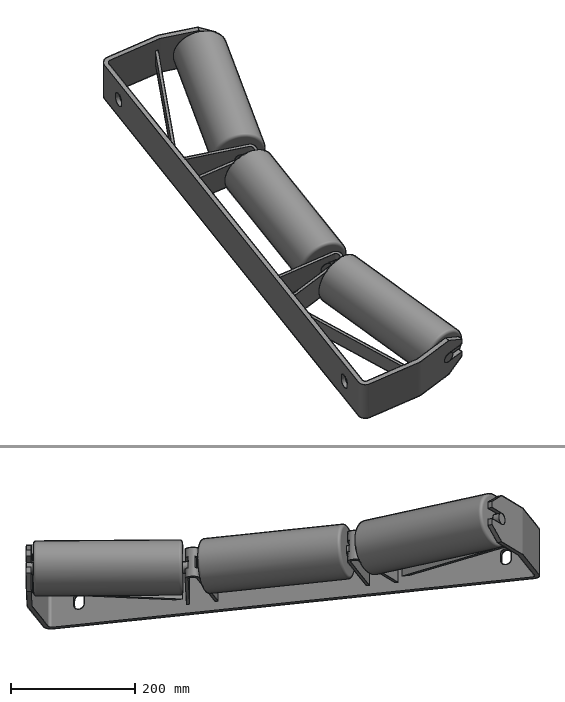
import cadquery as cq
import math

trough_angle = 15.0

frame_length = 830.0
frame_height = 80.0
frame_thickness = 8.0
corner_radius = 13.5
arm_bend_y = 108.0
arm_bend_radius = 20.0
arm_reach = 96.0
tip_chamfer_length = 30.0
tip_chamfer_width = 20.0

mount_slot_x = 357.5
mount_slot_width = 18.0
mount_slot_height = 27.0

roller_length = 240.0
roller_diameter = 89.0
roller_edge_radius = 5.0
shaft_diameter = 19.0
roller_gap = 4.0
centre_roller_y = 101.0
side_roller_x = 271.0
side_roller_y = 137.0

bracket_height = 50.0
bracket_thickness = 5.0
bracket_top_y = 126.5
bracket_bend_radius = 11.0

brace_height = 30.0
brace_thickness = 5.0
brace_arm_y = 100.5
brace_foot_x = 190.0

slope = math.radians(trough_angle)
half_length = frame_length / 2
shaft_radius = shaft_diameter / 2
shoulder = roller_length / 2 + roller_gap
bracket_reach = shoulder + bracket_thickness
axis_direction = cq.Vector(math.cos(slope), math.sin(slope), 0)
arm_direction = cq.Vector(-math.sin(slope), math.cos(slope), 0)
side_centre = cq.Vector(side_roller_x, side_roller_y, 0)
arm_bend = cq.Vector(half_length, arm_bend_y, 0)
arm_face_reach = (arm_bend - side_centre).dot(axis_direction)


def mirrored(body):
    return body.mirror("YZ")


def bar(outline, height):
    """Extrude an XY outline evenly above and below Z = 0."""
    return outline.extrude(height).translate((0, 0, -height / 2))


def at_side_roller(body):
    """Move a body from the X axis onto the axis of the +X side roller."""
    return body.rotate((0, 0, 0), (0, 0, 1), trough_angle).translate(side_centre)


def at_centre_roller(body):
    return body.translate((0, centre_roller_y, 0))


def shaft_slot(start, end):
    """Cutter for a round-bottomed slot that opens toward +Y, for a shaft on the X axis."""
    depth = roller_diameter
    length = end - start
    bottom = cq.Workplane("YZ", origin=(start, 0, 0)).circle(shaft_radius).extrude(length)
    mouth = cq.Workplane("YZ", origin=(start, 0, 0)).center(depth / 2, 0).rect(depth, shaft_diameter)
    return bottom.union(mouth.extrude(length))



def frame_blank(inset):
    """Solid area inside the frame's outer faces, moved inward by inset."""
    side_x = half_length - inset
    bend_y = arm_bend_y - inset * math.tan(slope / 2)
    top_y = arm_bend_y + arm_reach
    top_x = side_x - (top_y - bend_y) * math.tan(slope)
    outline = cq.Workplane("XY").polyline([
        (-top_x, top_y), (-side_x, bend_y), (-side_x, inset),
        (side_x, inset), (side_x, bend_y), (top_x, top_y),
    ]).close()
    blank = bar(outline, frame_height)
    for side in (-1, 1):
        for y, radius in ((inset, corner_radius), (bend_y, arm_bend_radius)):
            corner = cq.NearestToPointSelector((side * side_x, y, 0))
            blank = blank.edges("|Z").edges(corner).fillet(radius - inset)
    return blank


def tip_cutter():
    """Everything beyond the chamfered, square-cut tip of the +X arm."""
    plane = cq.Plane(origin=arm_bend.toTuple(), xDir=arm_direction.toTuple(), normal=axis_direction.toTuple())
    edge = frame_height / 2
    chamfer_start = arm_reach - tip_chamfer_length
    flat = edge - tip_chamfer_width
    outline = cq.Workplane(plane).polyline([
        (chamfer_start, edge), (arm_reach, flat), (arm_reach, -flat), (chamfer_start, -edge),
        (chamfer_start, -frame_height), (2 * arm_reach, -frame_height),
        (2 * arm_reach, frame_height), (chamfer_start, frame_height),
    ]).close()
    return outline.extrude(2 * frame_thickness, both=True)


def make_frame():
    frame = frame_blank(0).cut(frame_blank(frame_thickness))
    slot_cutter = at_side_roller(shaft_slot(arm_face_reach - 2 * frame_thickness, arm_face_reach + frame_thickness))
    for cutter in (tip_cutter(), slot_cutter):
        frame = frame.cut(cutter).cut(mirrored(cutter))
    mount_slots = (
        cq.Workplane("XZ")
        .pushPoints([(-mount_slot_x, 0), (mount_slot_x, 0)])
        .slot2D(mount_slot_height, mount_slot_width, 90)
        .extrude(-frame_thickness)
    )
    return frame.cut(mount_slots)



def bracket_blank(inset):
    """Solid area under the +X bracket's outer faces, moved inward by inset."""
    face = side_centre - axis_direction * (shoulder + inset)
    inner_x = shoulder + inset
    top_y = bracket_top_y - inset

    def leaning_face_x(y):
        return face.x + (face.y - y) * math.tan(slope)

    outline = cq.Workplane("XY").polyline([
        (inner_x, frame_thickness), (inner_x, top_y),
        (leaning_face_x(top_y), top_y), (leaning_face_x(frame_thickness), frame_thickness),
    ]).close()
    return bar(outline, bracket_height).edges("|Z and >Y").fillet(bracket_bend_radius - inset)


def make_bracket():
    bracket = bracket_blank(0).cut(bracket_blank(bracket_thickness))
    bracket = bracket.cut(at_centre_roller(shaft_slot(shoulder, bracket_reach)))
    return bracket.cut(at_side_roller(shaft_slot(-bracket_reach, -shoulder)))



def make_brace():
    arm_x = half_length - frame_thickness
    run = arm_x - brace_foot_x
    rise = brace_arm_y - frame_thickness
    strip = cq.Workplane("XY").box(2 * run, brace_thickness, brace_height)
    strip = strip.rotate((0, 0, 0), (0, 0, 1), math.degrees(math.atan2(rise, run)))
    strip = strip.translate((brace_foot_x + run / 2, frame_thickness + rise / 2, 0))
    inside = cq.Workplane("XY").box(arm_x, frame_length, frame_height, centered=(False, False, True))
    return strip.intersect(inside.translate((0, frame_thickness, 0)))



def make_roller(start, end):
    """Roller centred on the X axis, with a shaft that runs from start to end."""
    shell = cq.Workplane("YZ", origin=(-roller_length / 2, 0, 0)).circle(roller_diameter / 2)
    shell = shell.extrude(roller_length).edges().fillet(roller_edge_radius)
    shaft = cq.Workplane("YZ", origin=(start, 0, 0)).circle(shaft_radius).extrude(end - start)
    return shell.union(shaft)


frame = make_frame()
bracket = make_bracket()
brace = make_brace()
centre_roller = at_centre_roller(make_roller(-bracket_reach, bracket_reach))
side_roller = at_side_roller(make_roller(-bracket_reach, arm_face_reach))

bodies = [frame, centre_roller]
for body in (bracket, brace, side_roller):
    bodies += [body, mirrored(body)]
result = cq.Compound.makeCompound([body.val() for body in bodies])